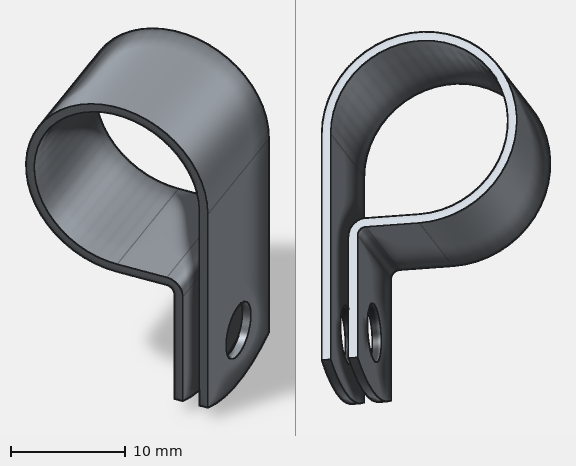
import cadquery as cq
import math

INNER_RADIUS = 7.9375
THICKNESS = 0.8125
WIDTH = 12.7
LEG_GAP = 1.6
LEG_DROP = 21.97
BEND_INNER_RADIUS = 0.75
HOLE_DIAMETER = 5.16
HOLE_DROP = 16.43
END_RADIUS = 16.0

OUTER_RADIUS = INNER_RADIUS + THICKNESS
BEND_OUTER_RADIUS = BEND_INNER_RADIUS + THICKNESS
SHORT_LEG_OUTER_X = INNER_RADIUS - LEG_GAP
SHORT_LEG_INNER_X = SHORT_LEG_OUTER_X - THICKNESS
BEND_START_X = SHORT_LEG_OUTER_X - BEND_OUTER_RADIUS
ENVELOPE_REACH = 2 * OUTER_RADIUS
DIAGONAL = math.sqrt(0.5)
BEND_CENTRE_Z = -OUTER_RADIUS - BEND_INNER_RADIUS


def make_strap():
    """Bent strap, centred on Y, with the loop axis along Y through the origin."""
    return (
        cq.Workplane("XZ", origin=(0, WIDTH / 2, 0))
        .moveTo(OUTER_RADIUS, -LEG_DROP)
        .lineTo(OUTER_RADIUS, 0)
        .threePointArc((-OUTER_RADIUS * DIAGONAL, OUTER_RADIUS * DIAGONAL), (0, -OUTER_RADIUS))
        .lineTo(BEND_START_X, -OUTER_RADIUS)
        .radiusArc((SHORT_LEG_INNER_X, BEND_CENTRE_Z), BEND_INNER_RADIUS)
        .lineTo(SHORT_LEG_INNER_X, -LEG_DROP)
        .lineTo(SHORT_LEG_OUTER_X, -LEG_DROP)
        .lineTo(SHORT_LEG_OUTER_X, BEND_CENTRE_Z)
        .radiusArc((BEND_START_X, -INNER_RADIUS), -BEND_OUTER_RADIUS)
        .lineTo(0, -INNER_RADIUS)
        .threePointArc((-INNER_RADIUS * DIAGONAL, INNER_RADIUS * DIAGONAL), (INNER_RADIUS, 0))
        .lineTo(INNER_RADIUS, -LEG_DROP)
        .close()
        .extrude(WIDTH)
    )


def make_end_envelope():
    """Block of strap width, reaching past the loop, whose lower face is the rounded leg end."""
    half_width = WIDTH / 2
    end_rise = END_RADIUS - math.sqrt(END_RADIUS**2 - half_width**2)
    corner_z = end_rise - LEG_DROP
    return (
        cq.Workplane("YZ")
        .moveTo(-half_width, ENVELOPE_REACH)
        .lineTo(-half_width, corner_z)
        .threePointArc((0, -LEG_DROP), (half_width, corner_z))
        .lineTo(half_width, ENVELOPE_REACH)
        .close()
        .extrude(ENVELOPE_REACH, both=True)
    )


def make_screw_hole():
    """Cutter along X that passes through both legs."""
    return (
        cq.Workplane("YZ")
        .center(0, -HOLE_DROP)
        .circle(HOLE_DIAMETER / 2)
        .extrude(OUTER_RADIUS)
    )


result = make_strap().intersect(make_end_envelope()).cut(make_screw_hole())